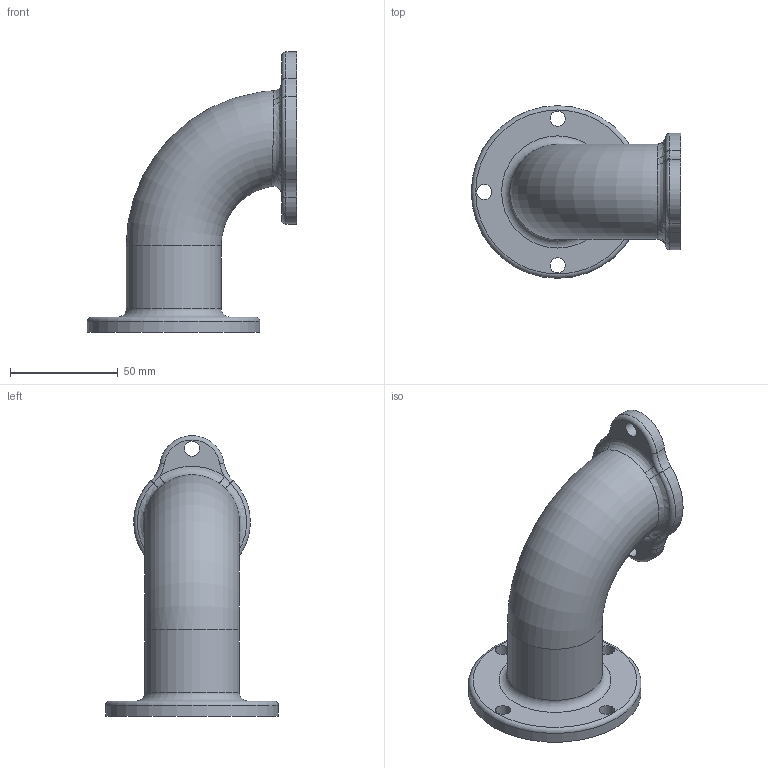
import cadquery as cq
import math

pipe_radius = 22.0
bend_radius = 50.0
bend_angle = 90.0
straight_top = 40.0
outlet_height = straight_top + bend_radius

flange_radius = 40.0
flange_thickness = 7.0
bolt_circle_radius = 34.0
bolt_hole_diameter = 7.0
base_hole_count = 4

body_radius = 27.0
lug_radius = 15.0
lug_offset = flange_radius - lug_radius
waist_radius = 15.0

root_fillet = 4.0
rim_fillet = 2.0


def make_pipe():
    """Vertical straight pipe followed by a quarter bend that ends facing +X."""
    straight = cq.Workplane("XY").circle(pipe_radius).extrude(straight_top)
    bend = (
        cq.Workplane("XY", origin=(0, 0, straight_top))
        .circle(pipe_radius)
        .revolve(bend_angle, (bend_radius, 0), (bend_radius, 1))
    )
    return straight.union(bend)


def make_base_flange():
    """Round flange at the foot of the pipe with a rounded upper rim."""
    return (
        cq.Workplane("XY")
        .circle(flange_radius)
        .extrude(flange_thickness)
        .faces(">Z")
        .edges()
        .fillet(rim_fillet)
    )


def make_outlet_flange():
    """Two-lug flange at the end of the bend, lugs above and below the pipe axis."""
    body_reach = body_radius + waist_radius
    lug_reach = lug_radius + waist_radius
    waist_z = (body_reach**2 - lug_reach**2 + lug_offset**2) / (2 * lug_offset)
    waist_y = math.sqrt(body_reach**2 - waist_z**2)

    body_y = waist_y * body_radius / body_reach
    body_z = waist_z * body_radius / body_reach
    lug_y = waist_y * lug_radius / lug_reach
    lug_z = lug_offset + (waist_z - lug_offset) * lug_radius / lug_reach
    chord_y = (body_y + lug_y) / 2 - waist_y
    chord_z = (body_z + lug_z) / 2 - waist_z
    pull = waist_radius / math.hypot(chord_y, chord_z)
    mid_y = waist_y + chord_y * pull
    mid_z = waist_z + chord_z * pull

    return (
        cq.Workplane("YZ", origin=(bend_radius, 0, outlet_height))
        .moveTo(body_y, -body_z)
        .threePointArc((body_radius, 0), (body_y, body_z))
        .threePointArc((mid_y, mid_z), (lug_y, lug_z))
        .threePointArc((0, flange_radius), (-lug_y, lug_z))
        .threePointArc((-mid_y, mid_z), (-body_y, body_z))
        .threePointArc((-body_radius, 0), (-body_y, -body_z))
        .threePointArc((-mid_y, -mid_z), (-lug_y, -lug_z))
        .threePointArc((0, -flange_radius), (lug_y, -lug_z))
        .threePointArc((mid_y, -mid_z), (body_y, -body_z))
        .close()
        .extrude(flange_thickness)
        .faces("<X")
        .edges()
        .fillet(rim_fillet)
    )


def round_pipe_roots(part):
    """Fillet the corners where the pipe meets the two flange faces."""
    margin = 0.1
    reach = pipe_radius + margin
    base_root = cq.selectors.BoxSelector(
        (-reach, -reach, flange_thickness - margin),
        (reach, reach, flange_thickness + margin),
        boundingbox=True,
    )
    outlet_root = cq.selectors.BoxSelector(
        (bend_radius - margin, -reach, outlet_height - reach),
        (bend_radius + margin, reach, outlet_height + reach),
        boundingbox=True,
    )
    part = part.edges(base_root).fillet(root_fillet)
    return part.edges(outlet_root).fillet(root_fillet)


def make_bolt_holes():
    """Cutters for the base bolt circle and for one hole in each outlet lug."""
    base_holes = (
        cq.Workplane("XY")
        .polarArray(bolt_circle_radius, 0, 360, base_hole_count)
        .circle(bolt_hole_diameter / 2)
        .extrude(flange_thickness)
    )
    lug_holes = (
        cq.Workplane("YZ", origin=(bend_radius, 0, outlet_height))
        .pushPoints([(0, bolt_circle_radius), (0, -bolt_circle_radius)])
        .circle(bolt_hole_diameter / 2)
        .extrude(flange_thickness)
    )
    return base_holes.union(lug_holes)


body = make_pipe().union(make_base_flange()).union(make_outlet_flange())
result = round_pipe_roots(body).cut(make_bolt_holes())